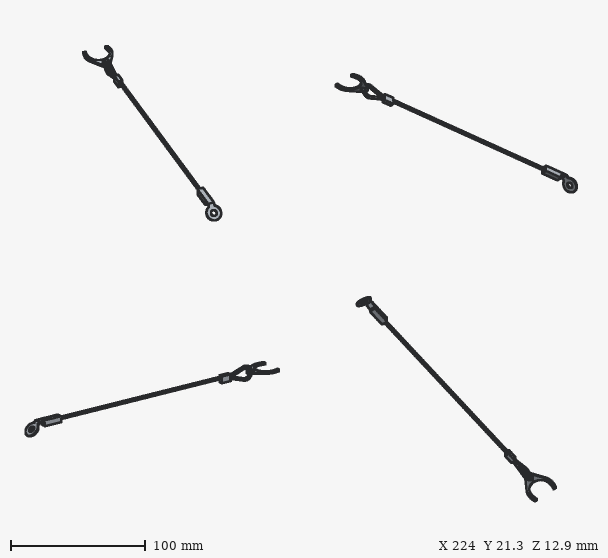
import cadquery as cq
import math

TOTAL_LENGTH = 224.0

FORK_THICKNESS = 1.3
FORK_OUTER_RADIUS = 10.64
FORK_INNER_RADIUS = 8.5
FORK_CENTER_X = 5.5
PRONG_TIP_OUTER_Y = 9.9
PRONG_TIP_INNER_Y = 7.8
HUB_X = 18.4
HUB_RADIUS = 3.8
HUB_HOLE_DIAMETER = 4.0

WIRE_DIAMETER = 2.0
WIRE_OFFSET_Z = 1.1
EYE_RADIUS = 5.0
EYE_CENTER_X = 24.0
EYE_CLOSE_X = 36.0
FERRULE_START_X = 38.5
FERRULE_LENGTH = 8.0
FERRULE_WIDTH = 3.4
FERRULE_HEIGHT = 5.4

BARREL_START_X = 194.4
BARREL_END_X = 209.2
BARREL_SIZE = 4.7
LUG_TOP_Z = 3.4
SLOPE_START_Z = 1.1
BEND_X = 214.5
BEND_ANGLE = 45.0
TONGUE_THICKNESS = 1.1
RING_DIAMETER = 11.5
RING_HOLE_DIAMETER = 4.5


def make_fork():
    """Two curved prongs joined to a rounded hub with a hole for the cable eye."""
    flank = math.acos((FORK_OUTER_RADIUS - HUB_RADIUS) / (HUB_X - FORK_CENTER_X))

    def on_arc(center_x, radius, angle):
        return (center_x + radius * math.cos(angle), radius * math.sin(angle))

    flank_fork = on_arc(FORK_CENTER_X, FORK_OUTER_RADIUS, flank)
    flank_hub = on_arc(HUB_X, HUB_RADIUS, flank)
    arc_middle = on_arc(FORK_CENTER_X, FORK_OUTER_RADIUS, (math.pi / 2 + flank) / 2)

    def mirrored(point):
        return (point[0], -point[1])

    outer_drop = FORK_OUTER_RADIUS - PRONG_TIP_OUTER_Y
    inner_drop = FORK_INNER_RADIUS - PRONG_TIP_INNER_Y
    outer_tip_radius = (FORK_CENTER_X**2 + outer_drop**2) / (2 * outer_drop)
    inner_tip_radius = (FORK_CENTER_X**2 + inner_drop**2) / (2 * inner_drop)

    plate = (
        cq.Workplane("XY", origin=(0, 0, -FORK_THICKNESS / 2))
        .moveTo(0, PRONG_TIP_OUTER_Y)
        .radiusArc((FORK_CENTER_X, FORK_OUTER_RADIUS), outer_tip_radius)
        .threePointArc(arc_middle, flank_fork)
        .lineTo(*flank_hub)
        .threePointArc((HUB_X + HUB_RADIUS, 0), mirrored(flank_hub))
        .lineTo(*mirrored(flank_fork))
        .threePointArc(mirrored(arc_middle), (FORK_CENTER_X, -FORK_OUTER_RADIUS))
        .radiusArc((0, -PRONG_TIP_OUTER_Y), outer_tip_radius)
        .lineTo(0, -PRONG_TIP_INNER_Y)
        .radiusArc((FORK_CENTER_X, -FORK_INNER_RADIUS), -inner_tip_radius)
        .threePointArc((FORK_CENTER_X + FORK_INNER_RADIUS, 0), (FORK_CENTER_X, FORK_INNER_RADIUS))
        .radiusArc((0, PRONG_TIP_INNER_Y), -inner_tip_radius)
        .close()
        .extrude(FORK_THICKNESS)
    )
    hole = (
        cq.Workplane("XY")
        .center(HUB_X, 0)
        .circle(HUB_HOLE_DIAMETER / 2)
        .extrude(FORK_THICKNESS, both=True)
    )
    return plate.cut(hole)


def make_cable():
    """Cable with a teardrop eye, clamped by a rectangular ferrule."""
    leg_dx = EYE_CLOSE_X - EYE_CENTER_X
    leg_angle = math.atan2(WIRE_OFFSET_Z, leg_dx)
    leg_angle += math.acos(EYE_RADIUS / math.hypot(leg_dx, WIRE_OFFSET_Z))
    tangent_x = EYE_CENTER_X + EYE_RADIUS * math.cos(leg_angle)
    tangent_z = EYE_RADIUS * math.sin(leg_angle)
    ferrule_middle_x = FERRULE_START_X + FERRULE_LENGTH / 2

    path = (
        cq.Workplane("XZ")
        .moveTo(ferrule_middle_x, WIRE_OFFSET_Z)
        .lineTo(EYE_CLOSE_X, WIRE_OFFSET_Z)
        .lineTo(tangent_x, tangent_z)
        .threePointArc((EYE_CENTER_X - EYE_RADIUS, 0), (tangent_x, -tangent_z))
        .lineTo(EYE_CLOSE_X, -WIRE_OFFSET_Z)
        .lineTo(ferrule_middle_x, -WIRE_OFFSET_Z)
    )
    eye = (
        cq.Workplane("YZ", origin=(ferrule_middle_x, 0, WIRE_OFFSET_Z))
        .circle(WIRE_DIAMETER / 2)
        .sweep(path, transition="right")
    )
    ferrule = cq.Workplane("XY").box(FERRULE_LENGTH, FERRULE_WIDTH, FERRULE_HEIGHT)
    ferrule = ferrule.translate((ferrule_middle_x, 0, 0))
    straight_run = (
        cq.Workplane("YZ", origin=(ferrule_middle_x, 0, WIRE_OFFSET_Z))
        .circle(WIRE_DIAMETER / 2)
        .extrude(BARREL_START_X - ferrule_middle_x)
    )
    return ferrule.union(eye).union(straight_run)


def make_lug():
    """Barrel butted against the cable end, with a bent tongue ending in a ring."""
    bend = math.radians(BEND_ANGLE)
    barrel = (
        cq.Workplane("XZ")
        .moveTo(BARREL_START_X, LUG_TOP_Z)
        .lineTo(BEND_X, LUG_TOP_Z)
        .lineTo(BEND_X - TONGUE_THICKNESS * math.sin(bend), LUG_TOP_Z - TONGUE_THICKNESS * math.cos(bend))
        .lineTo(BARREL_END_X, SLOPE_START_Z)
        .lineTo(BARREL_END_X, LUG_TOP_Z - BARREL_SIZE)
        .lineTo(BARREL_START_X, LUG_TOP_Z - BARREL_SIZE)
        .close()
        .extrude(BARREL_SIZE / 2, both=True)
    )

    tongue_length = (TOTAL_LENGTH - BEND_X) / math.cos(bend)
    ring_distance = tongue_length - RING_DIAMETER / 2
    slope_plane = cq.Plane(
        origin=(BEND_X, 0, LUG_TOP_Z),
        xDir=(math.cos(bend), 0, -math.sin(bend)),
        normal=(math.sin(bend), 0, math.cos(bend)),
    )
    neck = (
        cq.Workplane(slope_plane)
        .center(ring_distance / 2, 0)
        .rect(ring_distance, BARREL_SIZE)
        .extrude(-TONGUE_THICKNESS)
    )
    ring = (
        cq.Workplane(slope_plane)
        .center(ring_distance, 0)
        .circle(RING_DIAMETER / 2)
        .extrude(-TONGUE_THICKNESS)
    )
    hole = (
        cq.Workplane(slope_plane)
        .center(ring_distance, 0)
        .circle(RING_HOLE_DIAMETER / 2)
        .extrude(-TONGUE_THICKNESS)
    )
    return barrel.union(neck).union(ring).cut(hole)


fork = make_fork()
cable = make_cable()
lug = make_lug()

result = cq.Compound.makeCompound([fork.solids().val(), cable.solids().val(), lug.solids().val()])